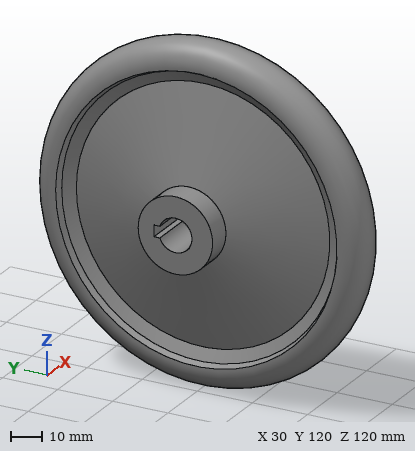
import cadquery as cq
import math

wheel_radius = 60.0
total_depth = 30.0

rim_width = 16.0
rim_round = rim_width / 2
rim_center_x = total_depth - rim_round
rim_center_radius = wheel_radius - rim_round

hub_radius = 27.0 / 2
hub_length = 9.0
bore_diameter = 12.0
keyway_width = 4.1
keyway_reach = 7.8

cone_slope = 0.3
cone_outer_radius = 46.0
ring_outer_radius = 50.0
wall_outer_radius = 51.0
ring_outer_x = 16.4
cone_outer_x = hub_length + cone_slope * (cone_outer_radius - hub_radius)

wall_offset = rim_center_radius - wall_outer_radius
wall_outer_x = rim_center_x - math.sqrt(rim_round**2 - wall_offset**2)


def wheel_body():
    """Revolve the half profile (x along the axis, y as radius) about X."""
    return (
        cq.Workplane("XY")
        .lineTo(0, hub_radius)
        .lineTo(hub_length, hub_radius)
        .lineTo(cone_outer_x, cone_outer_radius)
        .lineTo(ring_outer_x, ring_outer_radius)
        .lineTo(wall_outer_x, wall_outer_radius)
        .threePointArc((rim_center_x, wheel_radius), (total_depth, rim_center_radius))
        .lineTo(total_depth, 0)
        .close()
        .revolve(360, (0, 0, 0), (1, 0, 0))
    )


def keyed_bore():
    """Through bore with a keyway on its +Y side."""
    bore = cq.Workplane("YZ").circle(bore_diameter / 2).extrude(total_depth)
    keyway = (
        cq.Workplane("YZ")
        .center(keyway_reach / 2, 0)
        .rect(keyway_reach, keyway_width)
        .extrude(total_depth)
    )
    return bore.union(keyway)


result = wheel_body().cut(keyed_bore())